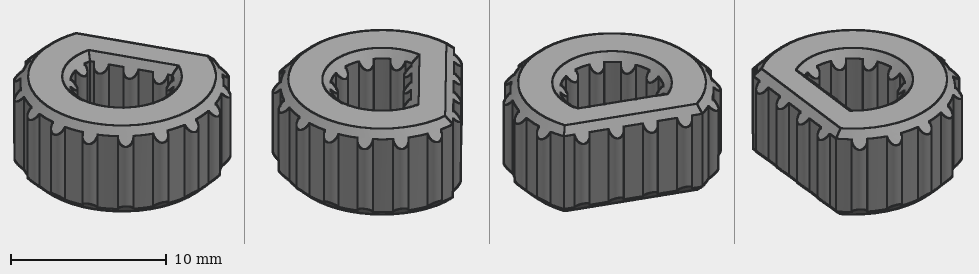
import cadquery as cq
import math

HEIGHT = 6.5
OUTER_RADIUS = 6.54
OUTER_FLAT_Y = 4.59
BORE_RADIUS = 3.35
BORE_FLAT_Y = 1.87

RIB_RADIUS = 0.5
CHAMFER_ANGLE = 45
EDGE_CHAMFER = 0.5
RIB_CHAMFER = EDGE_CHAMFER + RIB_RADIUS

OUTER_ARC_RIBS = 13
OUTER_ARC_PITCH = 20.22
OUTER_FLAT_RIBS = 4
OUTER_FLAT_PITCH = 2.3
BORE_ARC_RIBS = 7
BORE_ARC_PITCH = 35.8
BORE_FLAT_RIBS = 3
BORE_FLAT_PITCH = 2.0


def d_outline(radius, flat_y, z=0.0):
    """Circle about the Z axis, cut off by a flat on its +Y side."""
    half_flat = math.sqrt(radius**2 - flat_y**2)
    return (
        cq.Workplane("XY", origin=(0, 0, z))
        .moveTo(half_flat, flat_y)
        .lineTo(-half_flat, flat_y)
        .threePointArc((0, -radius), (half_flat, flat_y))
        .close()
    )


def centred_steps(count, pitch):
    """Evenly spaced values, symmetric about zero."""
    return [(i - (count - 1) / 2) * pitch for i in range(count)]


def ribs(radius, flat_y, arc_count, arc_pitch, flat_count, flat_pitch):
    """Full-height rib cylinders along the round wall and the flat wall of a D outline."""
    centres = [(x, flat_y) for x in centred_steps(flat_count, flat_pitch)]
    for step in centred_steps(arc_count, arc_pitch):
        angle = math.radians(step)
        centres.append((radius * math.sin(angle), -radius * math.cos(angle)))
    return cq.Workplane("XY").pushPoints(centres).circle(RIB_RADIUS).extrude(HEIGHT)


def outer_body():
    """Ribbed D-shaped block, with both end edges chamfered across wall and ribs together."""
    block = d_outline(OUTER_RADIUS, OUTER_FLAT_Y).extrude(HEIGHT)
    block = block.union(
        ribs(OUTER_RADIUS, OUTER_FLAT_Y, OUTER_ARC_RIBS, OUTER_ARC_PITCH, OUTER_FLAT_RIBS, OUTER_FLAT_PITCH)
    )
    envelope = (
        d_outline(OUTER_RADIUS + RIB_RADIUS, OUTER_FLAT_Y + RIB_RADIUS)
        .extrude(HEIGHT)
        .faces("<Z or >Z")
        .chamfer(RIB_CHAMFER)
    )
    return block.intersect(envelope)


def bore_flare():
    """Chamfer cutter for the top end of the bore, as deep as the rib tips reach."""
    rim = d_outline(BORE_RADIUS + EDGE_CHAMFER, BORE_FLAT_Y + EDGE_CHAMFER, HEIGHT)
    return rim.extrude(-RIB_CHAMFER, taper=CHAMFER_ANGLE)


def ribbed_bore():
    """Solid to remove for the bore: D-shaped prism less its ribs, flared at both ends."""
    bore = d_outline(BORE_RADIUS, BORE_FLAT_Y).extrude(HEIGHT)
    bore = bore.cut(
        ribs(BORE_RADIUS, BORE_FLAT_Y, BORE_ARC_RIBS, BORE_ARC_PITCH, BORE_FLAT_RIBS, BORE_FLAT_PITCH)
    )
    top_flare = bore_flare()
    bottom_flare = top_flare.mirror("XY", (0, 0, HEIGHT / 2))
    return bore.union(top_flare).union(bottom_flare)


result = outer_body().cut(ribbed_bore())